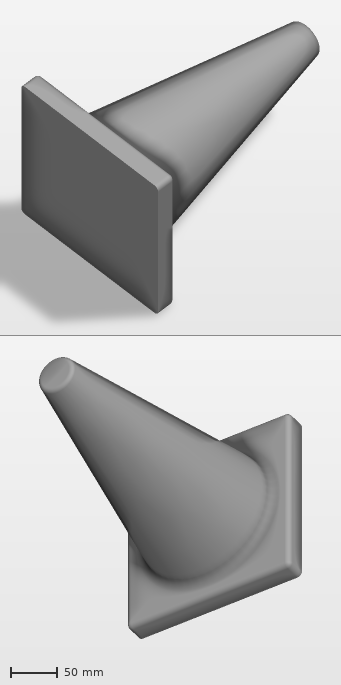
import cadquery as cq

base_side = 210.0
base_thickness = 25.0
edge_radius = 6.0

total_length = 330.2
cone_foot_radius = 83.0
cone_tip_radius = 22.0
tip_fillet = 5.0
foot_fillet = 10.0


def make_base():
    """Plate with rounded corners and a rounded rim on the cone side."""
    plate = cq.Workplane("XY").box(
        base_side, base_thickness, base_side, centered=(True, False, True)
    )
    return plate.edges("|Y or >Y").fillet(edge_radius)


def make_cone():
    """Truncated cone with a rounded tip edge."""
    profile = [
        (0, base_thickness),
        (cone_foot_radius, base_thickness),
        (cone_tip_radius, total_length),
        (0, total_length),
    ]
    cone = cq.Workplane("XY").polyline(profile).close().revolve(360, (0, 0, 0), (0, 1, 0))
    return cone.faces(">Y").edges().fillet(tip_fillet)


selection_margin = 0.3
foot_reach = cone_foot_radius + selection_margin
cone_foot = cq.selectors.BoxSelector(
    (-foot_reach, base_thickness - selection_margin, -foot_reach),
    (foot_reach, base_thickness + selection_margin, foot_reach),
    boundingbox=True,
)
result = make_base().union(make_cone()).edges(cone_foot).fillet(foot_fillet)